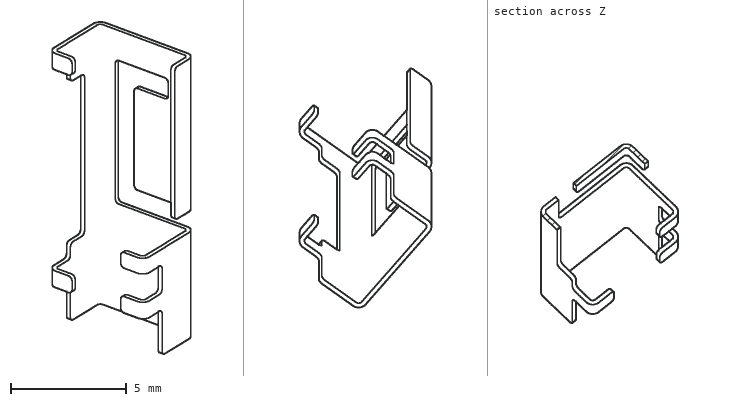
import cadquery as cq

width = 5.23
depth = 3.53
height = 13.75
thickness = 0.215
inner_bend = 0.17
outer_bend = inner_bend + thickness
corner_radius = 0.2
margin = 1.0

lower_tab_bottom = 2.25
lower_tab_top = 3.07
left_step_bottom = 3.84
middle_tab_bottom = 4.46
lower_body_top = 5.23
tongue_bottom = 6.25
tongue_top = 11.25
window_top = 12.27
left_step_top = 11.75
top_tab_bottom = 12.93

window_left = -1.545
tongue_left = -0.525
window_right = 1.345
tab_reach = 1.285

wall_front = -2.27
left_strip_front = -1.28
right_flange_front = -1.38
tab_overrun = -depth - margin


def channel_shell():
    """Full-height C-shaped channel, open between the two front lips."""
    outer = (
        cq.Workplane("XY")
        .rect(width, depth)
        .extrude(height)
        .edges("|Z")
        .fillet(outer_bend)
    )
    inner = (
        cq.Workplane("XY")
        .rect(width - 2 * thickness, depth - 2 * thickness)
        .extrude(height)
        .edges("|Z")
        .fillet(inner_bend)
    )
    mouth_width = width - 2 * tab_reach
    mouth = cq.Workplane("XY").center(0, -depth / 2).rect(mouth_width, depth).extrude(height)
    return outer.cut(inner).cut(mouth).translate((0, -depth / 2, 0))


def side_prism(points, side):
    """Prism of a rounded (y, z) outline over one half of the width; side is -1 or +1."""
    return (
        cq.Workplane("YZ")
        .polyline(points)
        .close()
        .extrude(side * width)
        .edges("|X")
        .fillet(corner_radius)
    )


def left_half(shell):
    """Left wall: a narrow strip between a top tab and a lower tab."""
    outline = [
        (margin, 0),
        (wall_front, 0),
        (wall_front, lower_tab_bottom),
        (tab_overrun, lower_tab_bottom),
        (tab_overrun, lower_tab_top),
        (wall_front, lower_tab_top),
        (wall_front, left_step_bottom),
        (left_strip_front, left_step_bottom),
        (left_strip_front, left_step_top),
        (wall_front, left_step_top),
        (wall_front, top_tab_bottom),
        (tab_overrun, top_tab_bottom),
        (tab_overrun, height),
        (margin, height),
    ]
    return shell.intersect(side_prism(outline, -1))


def right_half(shell):
    """Right wall: a lower body with two tabs and a separate upper flange."""
    lower_outline = [
        (margin, 0),
        (wall_front, 0),
        (wall_front, lower_tab_bottom),
        (tab_overrun, lower_tab_bottom),
        (tab_overrun, lower_tab_top),
        (wall_front, lower_tab_top),
        (wall_front, middle_tab_bottom),
        (tab_overrun, middle_tab_bottom),
        (tab_overrun, lower_body_top),
        (margin, lower_body_top),
    ]
    upper_outline = [
        (margin, tongue_bottom),
        (right_flange_front, tongue_bottom),
        (right_flange_front, height),
        (margin, height),
    ]
    lower = shell.intersect(side_prism(lower_outline, 1))
    upper = shell.intersect(side_prism(upper_outline, 1))
    return lower, upper


def back_window():
    """Opening in the back that frees a tongue and parts the right side."""
    right_overrun = width / 2 + margin
    outline = [
        (window_left, lower_body_top),
        (right_overrun, lower_body_top),
        (right_overrun, tongue_bottom),
        (tongue_left, tongue_bottom),
        (tongue_left, tongue_top),
        (window_right, tongue_top),
        (window_right, window_top),
        (window_left, window_top),
    ]
    return (
        cq.Workplane("XZ")
        .polyline(outline)
        .close()
        .extrude(outer_bend)
        .edges("|Y")
        .fillet(corner_radius)
    )


def round_tab_tips(body):
    """Round the tip corners of every tab."""
    tip_zone = cq.selectors.BoxSelector(
        (-width / 2 + outer_bend, -depth - margin, -margin),
        (width / 2 - outer_bend, -depth + outer_bend, height + margin),
    )
    return body.edges("|Y").edges(tip_zone).fillet(corner_radius)


shell = channel_shell()
right_lower, right_upper = right_half(shell)
bracket = left_half(shell).union(right_lower).union(right_upper).cut(back_window()).clean()
result = round_tab_tips(bracket)